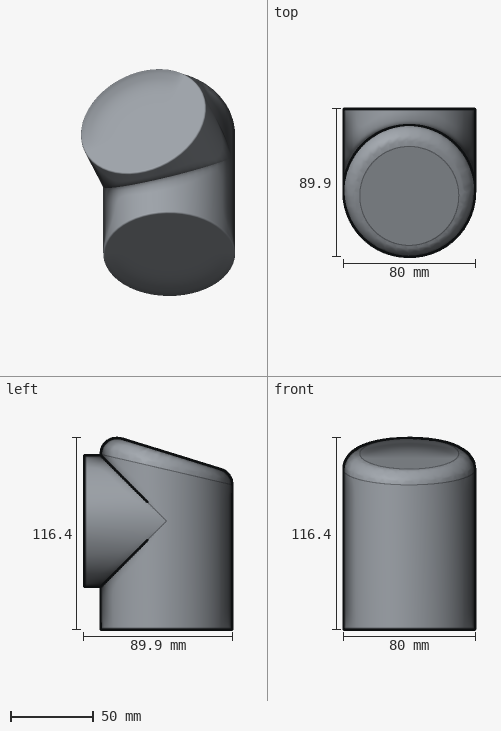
import cadquery as cq
import math

overall_height = 116.4
diameter = 80.0
radius = diameter / 2
branch_length = 49.9
branch_height = 65.9
top_tilt = 17.2
top_fillet = 10.0
end_fillet = 1.0

tilt = math.radians(top_tilt)
fillet_centre_reach = radius - top_fillet
fillet_centre_height = overall_height - top_fillet - fillet_centre_reach * math.tan(tilt)
top_height_on_axis = fillet_centre_height + top_fillet / math.cos(tilt)
top_rise = radius * math.tan(tilt)


def make_upright():
    """Vertical cylinder with a sloping, rounded top and a softened base rim."""
    cylinder = cq.Workplane("XY").circle(radius).extrude(top_height_on_axis + top_rise)
    side_profile = (
        cq.Workplane("YZ")
        .moveTo(-radius, 0)
        .lineTo(radius, 0)
        .lineTo(radius, top_height_on_axis + top_rise)
        .lineTo(-radius, top_height_on_axis - top_rise)
        .close()
        .extrude(radius, both=True)
    )
    upright = cylinder.intersect(side_profile)
    upright = upright.faces("<Z").edges().fillet(end_fillet)
    return upright.faces(">Z").edges().fillet(top_fillet)


def make_branch():
    """Horizontal cylinder from the upright axis toward +Y, rounded at its end."""
    return (
        cq.Workplane("XZ", origin=(0, 0, branch_height))
        .circle(radius)
        .extrude(-branch_length)
        .faces(">Y")
        .edges()
        .fillet(end_fillet)
    )


result = make_upright().union(make_branch())